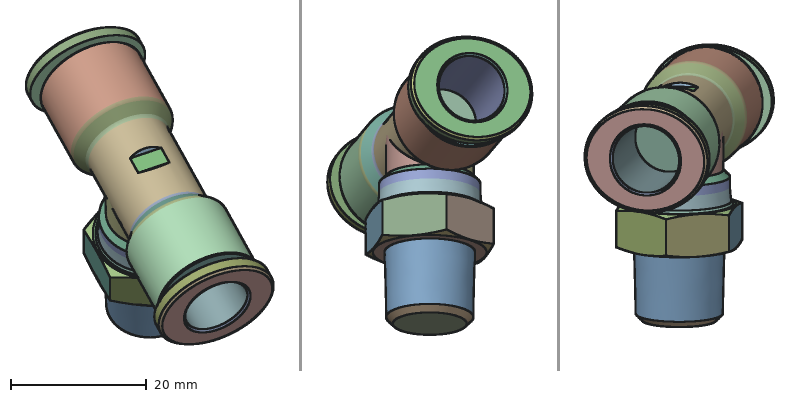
import cadquery as cq
import math

half_length = 25.0
socket_radius = 8.15
socket_end = 21.8
socket_edge_chamfer = 0.15
middle_radius = 6.5
cone_outer = 10.05
cone_inner = 7.95
cone_blend_radius = 1.0

collar_width = 18.5
collar_height = 16.0
collar_thickness = 2.05
collar_chamfer = 0.4
neck_radius = 5.85

bore_radius = 5.0
bore_depth = half_length - cone_inner
bore_chamfer = 0.35

recess_floor_length = 3.0
recess_depth = 0.5

skirt_start = -6.2
skirt_radius = 7.5
skirt_shoulder = skirt_start - (skirt_radius - middle_radius)
skirt_taper_start = -8.75
skirt_taper_end = -10.85
skirt_taper_radius = 7.7
flange_radius = 8.0

hex_top = -11.3
hex_bottom = -17.75
hex_flats = 17.0
hex_corner_radius = hex_flats / 2 / math.cos(math.pi / 6)
hex_crown_radius = 8.4
hex_corner_drop = 0.5

spigot_bottom = -28.8
spigot_top_radius = 6.7
spigot_end_radius = 6.45
spigot_chamfer = 1.0


def make_run():
    """Sockets, cones and middle turned about X, with blended cone edges."""
    mouth_radius = socket_radius - socket_edge_chamfer
    chamfer_start = socket_end - socket_edge_chamfer
    outline = [
        (-socket_end, 0),
        (-socket_end, mouth_radius),
        (-chamfer_start, socket_radius),
        (-cone_outer, socket_radius),
        (-cone_inner, middle_radius),
        (cone_inner, middle_radius),
        (cone_outer, socket_radius),
        (chamfer_start, socket_radius),
        (socket_end, mouth_radius),
        (socket_end, 0),
    ]
    run = cq.Workplane("XY").polyline(outline).close().revolve(360, (0, 0, 0), (1, 0, 0))
    pick_margin = 0.05
    for side in (-1, 1):
        for distance in (cone_inner, cone_outer):
            edge = cq.selectors.BoxSelector(
                (side * distance - pick_margin, -half_length, -half_length),
                (side * distance + pick_margin, half_length, half_length),
                boundingbox=True,
            )
            run = run.edges(edge).fillet(cone_blend_radius)
    return run


def make_release_collar():
    """Neck and oval collar of the socket at the +X end."""
    collar_start = half_length - collar_thickness
    collar = (
        cq.Workplane("YZ", origin=(collar_start, 0, 0))
        .ellipse(collar_width / 2, collar_height / 2)
        .extrude(collar_thickness)
        .faces(">X")
        .chamfer(collar_chamfer)
    )
    neck = (
        cq.Workplane("YZ", origin=(cone_outer, 0, 0))
        .circle(neck_radius)
        .extrude(collar_start - cone_outer)
    )
    return collar.union(neck)


def make_bore():
    """Cutter for the chamfered blind bore at the +X end."""
    outline = [
        (half_length - bore_depth, 0),
        (half_length - bore_depth, bore_radius),
        (half_length - bore_chamfer, bore_radius),
        (half_length, bore_radius + bore_chamfer),
        (half_length, 0),
    ]
    return cq.Workplane("XY").polyline(outline).close().revolve(360, (0, 0, 0), (1, 0, 0))


def make_recess():
    """Cutter for the sloped recess across the top of the middle."""
    floor = middle_radius - recess_depth
    rise = 2 * recess_depth
    half_floor = recess_floor_length / 2
    outline = [
        (-half_floor, floor),
        (half_floor, floor),
        (half_floor + rise, floor + rise),
        (-half_floor - rise, floor + rise),
    ]
    return cq.Workplane("XZ").polyline(outline).close().extrude(middle_radius, both=True)


def turn_about_z(outline):
    """Solid of revolution about Z from (radius, height) points."""
    return cq.Workplane("XZ").polyline(outline).close().revolve(360, (0, 0, 0), (0, 1, 0))


def make_branch():
    """Round branch, skirt and tapered spigot below the run."""
    return turn_about_z([
        (0, 0),
        (middle_radius, 0),
        (middle_radius, skirt_start),
        (skirt_radius, skirt_shoulder),
        (skirt_radius, skirt_taper_start),
        (skirt_taper_radius, skirt_taper_end),
        (flange_radius, hex_top),
        (spigot_top_radius, hex_bottom),
        (spigot_end_radius, spigot_bottom + spigot_chamfer),
        (spigot_end_radius - spigot_chamfer, spigot_bottom),
        (0, spigot_bottom),
    ])


def make_hexagon():
    """Hexagon with corners on X, crowned at both ends."""
    blank = (
        cq.Workplane("XY", origin=(0, 0, hex_bottom))
        .polygon(6, 2 * hex_corner_radius)
        .extrude(hex_top - hex_bottom)
    )
    crown = turn_about_z([
        (0, hex_top),
        (hex_crown_radius, hex_top),
        (hex_corner_radius, hex_top - hex_corner_drop),
        (hex_corner_radius, hex_bottom + hex_corner_drop),
        (hex_crown_radius, hex_bottom),
        (0, hex_bottom),
    ])
    return blank.intersect(crown)


collar_right = make_release_collar()
bore_right = make_bore()

result = (
    make_run()
    .union(collar_right)
    .union(collar_right.mirror("YZ"))
    .union(make_branch())
    .union(make_hexagon())
    .cut(make_recess())
    .cut(bore_right)
    .cut(bore_right.mirror("YZ"))
)